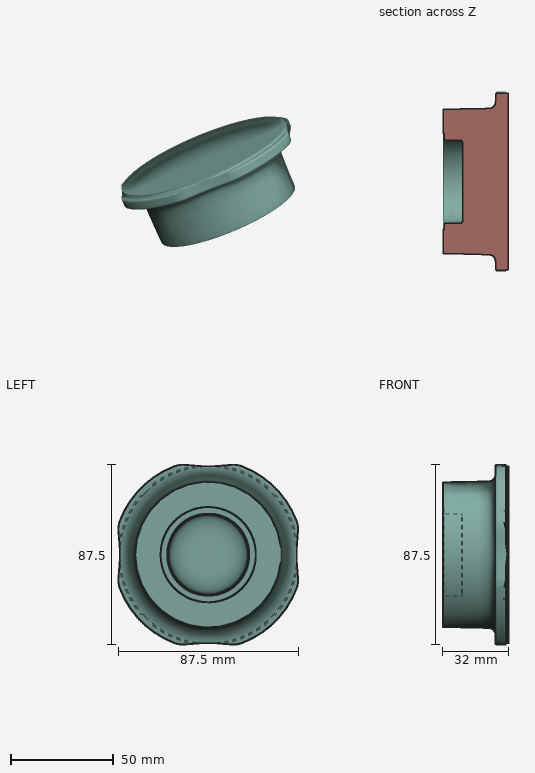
import cadquery as cq
import math

total_length = 32.0
flange_front = 25.5
flange_back = 30.65

barrel_front_radius = 35.25
barrel_rear_radius = 35.7
barrel_front_round = 0.6
root_fillet = 3.0

flange_radius = 46.0
flange_front_round = 1.0
flange_back_round = 1.0
hollow_depth_radius = 43.0
hollow_radius = 90.0
hollow_blend_radius = 12.0
hollow_count = 4

disc_radius = 86.0 / 2
disc_root_fillet = 0.75

recess_radius = 40.0 / 2
recess_depth = 9.0
counterbore_radius = 46.5 / 2
counterbore_depth = 0.6
floor_step_radius = 39.0 / 2
floor_step_depth = 0.5
step_wall_taper = 0.2

arc_middle_ratio = math.cos(math.pi / 4)


def axial_cylinder(radius, x_start, x_end):
    """Solid cylinder about the X axis between two positions."""
    plane = cq.Workplane("YZ", origin=(x_start, 0, 0))
    return plane.circle(radius).extrude(x_end - x_start)


def rotated(point, angle):
    """Turn a (y, z) point about the origin, angle in radians."""
    y, z = point
    return (
        y * math.cos(angle) - z * math.sin(angle),
        y * math.sin(angle) + z * math.cos(angle),
    )


def flange_outline():
    """Closed outline of rim arcs, blends and hollows, all tangent to each other."""
    hollow_centre_z = hollow_depth_radius + hollow_radius
    blend_orbit = flange_radius - hollow_blend_radius
    centre_gap = hollow_radius + hollow_blend_radius
    cosine_top = blend_orbit**2 + hollow_centre_z**2 - centre_gap**2
    blend_angle = math.acos(cosine_top / (2 * blend_orbit * hollow_centre_z))
    blend_y = blend_orbit * math.sin(blend_angle)
    blend_z = blend_orbit * math.cos(blend_angle)

    rim_end = (flange_radius * math.sin(blend_angle), flange_radius * math.cos(blend_angle))
    blend_top = (blend_y, blend_z + hollow_blend_radius)
    hollow_fraction = hollow_blend_radius / centre_gap
    hollow_end = (
        blend_y * (1 - hollow_fraction),
        blend_z + (hollow_centre_z - blend_z) * hollow_fraction,
    )
    hollow_middle = (0, hollow_depth_radius)
    rim_middle = rotated((0, flange_radius), math.pi / hollow_count)

    def mirrored(point):
        return (-point[0], point[1])

    step = 2 * math.pi / hollow_count
    outline = cq.Workplane("YZ", origin=(flange_front, 0, 0)).moveTo(*rim_end)
    for index in range(hollow_count):
        turn = index * step
        outline = (
            outline.threePointArc(rotated(blend_top, turn), rotated(hollow_end, turn))
            .threePointArc(rotated(hollow_middle, turn), rotated(mirrored(hollow_end), turn))
            .threePointArc(rotated(mirrored(blend_top), turn), rotated(mirrored(rim_end), turn))
            .threePointArc(rotated(rim_middle, turn), rotated(rim_end, turn + step))
        )
    return outline.close()


def make_flange():
    """Turned flange with a root fillet towards the rear disc, cut to the hollowed outline."""
    root_outer_radius = disc_radius + disc_root_fillet
    root_end = flange_back + disc_root_fillet
    root_diagonal = disc_root_fillet * arc_middle_ratio
    round_diagonal = flange_back_round * arc_middle_ratio
    round_centre_x = flange_back - flange_back_round
    round_centre_radius = flange_radius - flange_back_round
    profile = (
        cq.Workplane("XY")
        .moveTo(flange_front, 0)
        .lineTo(flange_front, flange_radius)
        .lineTo(round_centre_x, flange_radius)
        .threePointArc(
            (round_centre_x + round_diagonal, round_centre_radius + round_diagonal),
            (flange_back, round_centre_radius),
        )
        .lineTo(flange_back, root_outer_radius)
        .threePointArc(
            (root_end - root_diagonal, root_outer_radius - root_diagonal),
            (root_end, disc_radius),
        )
        .lineTo(root_end, 0)
        .close()
    )
    blank = profile.revolve(360, (0, 0, 0), (1, 0, 0))
    flange = flange_outline().extrude(total_length - flange_front)
    flange = flange.faces("<X").edges().fillet(flange_front_round)
    return flange.intersect(blank)


def make_barrel():
    """Flaring barrel with a rounded front edge and a concave root fillet."""
    root_start = flange_front - root_fillet
    root_outer_radius = barrel_rear_radius + root_fillet
    diagonal = root_fillet * arc_middle_ratio
    root_middle = (root_start + diagonal, root_outer_radius - diagonal)
    profile = (
        cq.Workplane("XY")
        .lineTo(0, barrel_front_radius)
        .lineTo(root_start, barrel_rear_radius)
        .threePointArc(root_middle, (flange_front, root_outer_radius))
        .lineTo(flange_back, root_outer_radius)
        .lineTo(flange_back, 0)
        .close()
    )
    barrel = profile.revolve(360, (0, 0, 0), (1, 0, 0))
    return barrel.faces("<X").edges().fillet(barrel_front_round)


def make_rear_disc():
    """Plain disc standing out behind the flange."""
    root_end = flange_back + disc_root_fillet
    return axial_cylinder(disc_radius, root_end, total_length)


def tapered_step(radius, x_start, depth):
    """Shallow round pocket that narrows slightly towards its floor."""
    plane = cq.Workplane("YZ", origin=(x_start, 0, 0))
    return plane.circle(radius).workplane(offset=depth).circle(radius - step_wall_taper).loft(ruled=True)


def make_recess():
    """Blind round recess with a shallow counterbore and a shallow step in its floor."""
    bore = axial_cylinder(recess_radius, 0, recess_depth)
    counterbore = tapered_step(counterbore_radius, 0, counterbore_depth)
    floor_step = tapered_step(floor_step_radius, recess_depth, floor_step_depth)
    return bore.union(counterbore).union(floor_step)


result = make_barrel().union(make_flange()).union(make_rear_disc()).cut(make_recess())